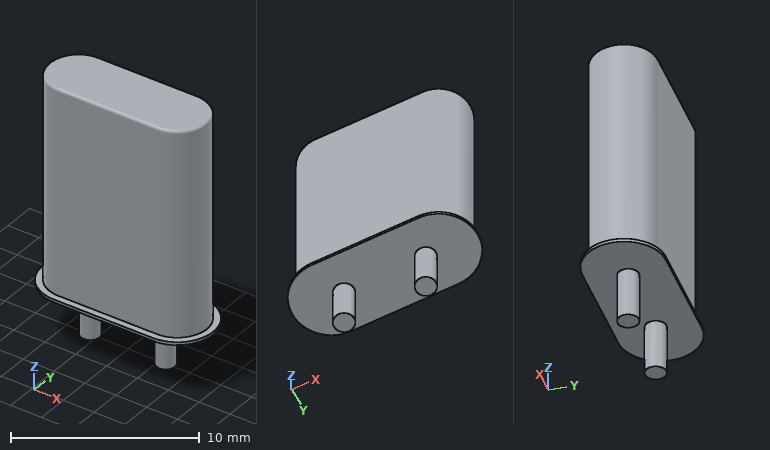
import cadquery as cq

total_height = 16.36
flange_length = 11.05
flange_width = 4.65
flange_thickness = 0.2
flange_overhang = 0.43

can_length = flange_length - 2 * flange_overhang
can_width = flange_width - 2 * flange_overhang
can_top_fillet = 0.2

pin_diameter = 1.2
pin_spacing = 4.89
pin_length = 3.0

can_height = total_height - pin_length - flange_thickness


def stadium(length, width, height, base_z):
    """Upright prism with full-round ends, centred on the Z axis."""
    return cq.Workplane("XY").workplane(offset=base_z).slot2D(length, width).extrude(height)


def pin(x):
    """Round pin hanging from the underside of the flange at z = 0."""
    return cq.Workplane("XY").center(x, 0).circle(pin_diameter / 2).extrude(-pin_length)


flange = stadium(flange_length, flange_width, flange_thickness, 0)
can = stadium(can_length, can_width, can_height, flange_thickness)
can = can.faces(">Z").edges().fillet(can_top_fillet)

result = flange.union(can)
for side in (-1, 1):
    result = result.union(pin(side * pin_spacing / 2))